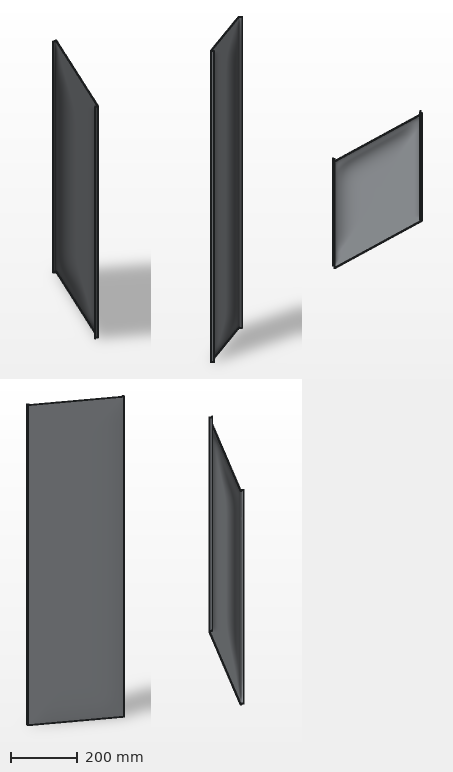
import cadquery as cq
import math


tip_width = 305.17
depth = 11.34
length = 1000.0

sheet = 1.5
panel_width = 305.0
wall_depth = 3.6
lip_angle = math.radians(45)

panel_bend = 1.0
lip_bend = 0.8

panel_face = depth / 2


def left_outer_corners():
    """Sharp corners of the outer surface, from the panel edge down to the lip tip."""
    panel_edge = (-panel_width / 2, panel_face)
    jog_start = (panel_edge[0], panel_face - wall_depth)
    tip = (-tip_width / 2, -depth / 2 + sheet * math.sin(lip_angle))
    run = tip[0] - jog_start[0]
    drop = jog_start[1] - tip[1]
    notch_drop = (run / math.tan(lip_angle) + drop) / 2
    notch = (jog_start[0] + notch_drop * math.tan(lip_angle), jog_start[1] - notch_drop)
    return [panel_edge, jog_start, notch, tip]


def inside_corner(corner, angle_before, angle_after):
    """Inner-surface corner across the sheet; angles are wall slopes from straight down, inward positive."""
    middle = (angle_before + angle_after) / 2
    reach = sheet / math.cos((angle_after - angle_before) / 2)
    return (corner[0] + reach * math.cos(middle), corner[1] + reach * math.sin(middle))


def left_inner_corners(outer):
    """Sharp corners of the inner surface, in the same order as the outer ones."""
    panel_edge, jog_start, notch, tip = outer
    return [
        (panel_edge[0] + sheet, panel_edge[1] - sheet),
        inside_corner(jog_start, 0, lip_angle),
        inside_corner(notch, lip_angle, -lip_angle),
        (tip[0] + sheet * math.cos(lip_angle), tip[1] - sheet * math.sin(lip_angle)),
    ]


def sharp_cover(outer, inner):
    """Cover with unrounded bends, extruded along its length."""
    left = outer + inner[::-1]
    right = [(-x, y) for x, y in reversed(left)]
    return cq.Workplane("XY").polyline(left + right).close().extrude(length)


def round_edges(body, corner, radius):
    """Round the long edge at a left-hand corner and its mirror image on the right."""
    for side in (1, -1):
        middle = (side * corner[0], corner[1], length / 2)
        body = body.edges(cq.selectors.NearestToPointSelector(middle)).fillet(radius)
    return body


outer_corners = left_outer_corners()
inner_corners = left_inner_corners(outer_corners)
result = sharp_cover(outer_corners, inner_corners)

outer_edge, outer_jog, outer_notch, _ = outer_corners
inner_edge, inner_jog, inner_notch, _ = inner_corners
bends = [
    (outer_edge, panel_bend + sheet),
    (inner_edge, panel_bend),
    (outer_jog, lip_bend + sheet),
    (inner_jog, lip_bend),
    (outer_notch, lip_bend),
    (inner_notch, lip_bend + sheet),
]
for bend_corner, bend_radius in bends:
    result = round_edges(result, bend_corner, bend_radius)